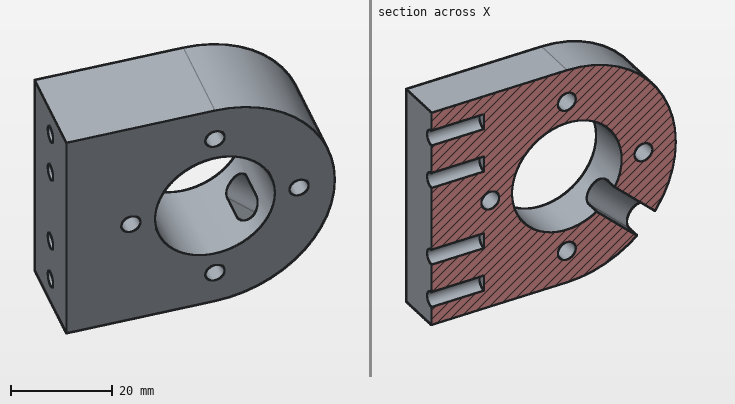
import cadquery as cq

length = 56.0
height = 50.0
thickness = 20.0
bore_diameter = 25.0
bolt_hole_diameter = 4.0
bolt_circle_radius = 17.5
bolt_count = 4
mount_hole_diameter = 3.4
mount_hole_depth = 12.0
mount_hole_heights = (9.0, 19.0)
slot_length = 12.0
slot_width = 6.0
slot_tilt = -43.0

end_radius = height / 2
flat_face_y = end_radius - length


def make_body():
    return (
        cq.Workplane("YZ", origin=(-thickness / 2, 0, 0))
        .moveTo(flat_face_y, -end_radius)
        .lineTo(0, -end_radius)
        .threePointArc((end_radius, 0), (0, end_radius))
        .lineTo(flat_face_y, end_radius)
        .close()
        .extrude(thickness)
    )


def make_bore_and_bolt_holes():
    face = cq.Workplane("YZ", origin=(-thickness / 2, 0, 0))
    bore = face.circle(bore_diameter / 2).extrude(thickness)
    bolt_holes = (
        face.polarArray(bolt_circle_radius, 0, 360, bolt_count)
        .circle(bolt_hole_diameter / 2)
        .extrude(thickness)
    )
    return bore.union(bolt_holes)


def make_mount_holes():
    """Blind holes into the flat end, mirrored about the bore axis."""
    centers = [(0, side * z) for z in mount_hole_heights for side in (-1, 1)]
    return (
        cq.Workplane("XZ", origin=(0, flat_face_y, 0))
        .pushPoints(centers)
        .circle(mount_hole_diameter / 2)
        .extrude(-mount_hole_depth)
    )


def make_radial_slot():
    """Slot from the bore out through the round end, tilted down and long in X."""
    return (
        cq.Workplane("XZ")
        .slot2D(slot_length, slot_width)
        .extrude(-height)
        .rotate((0, 0, 0), (1, 0, 0), slot_tilt)
    )


result = (
    make_body()
    .cut(make_bore_and_bolt_holes())
    .cut(make_mount_holes())
    .cut(make_radial_slot())
)